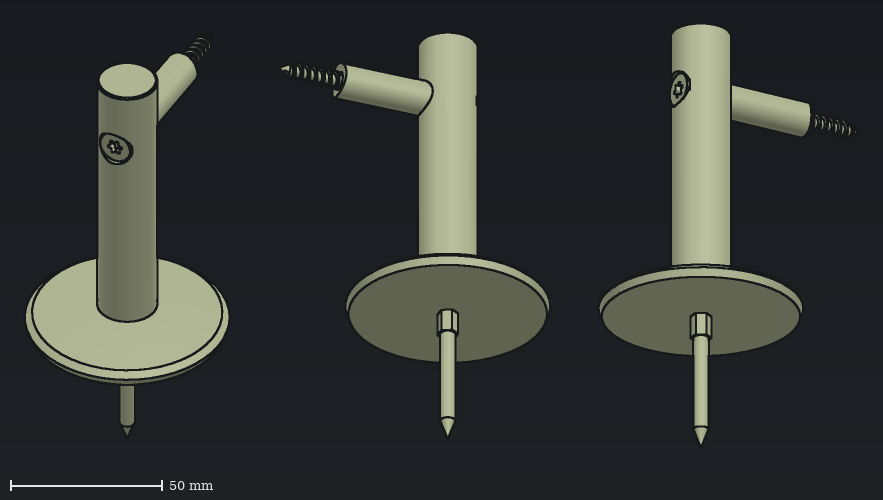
import cadquery as cq
import math

DISC_RIM_RADIUS = 34.0
DISC_RIM_HEIGHT = 3.0
DISC_BOTTOM_RADIUS = 32.9
DOME_EDGE_RADIUS = 31.5
DOME_EDGE_HEIGHT = 5.05
DISC_HEIGHT = 8.76

POST_RADIUS = 10.0
POST_TOP = 102.0
POST_CHAMFER = 0.5

CROSS_AXIS_HEIGHT = POST_TOP - 22.0

SPACER_RADIUS = 6.0
SPACER_END = 40.0
SADDLE_RADIUS = 21.2
SADDLE_AXIS_Y = SPACER_END + math.sqrt(SADDLE_RADIUS**2 - SPACER_RADIUS**2)

SCREW_LENGTH = 70.0
SCREW_TIP = 61.21
HEAD_FACE = SCREW_TIP - SCREW_LENGTH
HEAD_RADIUS = 5.6
HEAD_RIM_DEPTH = 1.0
HEAD_BORE_RADIUS = 6.0
SHANK_RADIUS = 3.0
HEAD_CONE_END = HEAD_FACE + HEAD_RIM_DEPTH + HEAD_RADIUS - SHANK_RADIUS
SHANK_END = 38.2
CORE_RADIUS = 2.0
TIP_LENGTH = 3.6

THREAD_RADIUS = SHANK_RADIUS
THREAD_PITCH = 2.6
THREAD_START = 39.3
THREAD_END = 58.4
THREAD_TAPER_START = 55.4
THREAD_TAPER_APEX = 61.8
THREAD_ROOT_WIDTH = 1.0
THREAD_CREST_WIDTH = 0.3
THREAD_EMBED = 0.8

DRIVE_LOBES = 6
DRIVE_OUTER_RADIUS = 2.6
DRIVE_INNER_RADIUS = 1.8
DRIVE_FLANK_RADIUS = (DRIVE_OUTER_RADIUS + DRIVE_INNER_RADIUS) / 2
DRIVE_LOBE_HALF_ANGLE = 13.0
DRIVE_ROTATION = 9.0
DRIVE_DEPTH = 2.5

HEX_SIDES = 6
HEX_ACROSS_FLATS = 6.0
HEX_ACROSS_CORNERS = HEX_ACROSS_FLATS / math.cos(math.pi / HEX_SIDES)
HEX_BOTTOM = -7.76
PIN_RADIUS = 2.6
PIN_CONE_TOP = -40.76
PIN_TIP = -47.76


def on_cross_axis(shape):
    """Turn a shape built along +Z so that it runs along +Y on the cross axis."""
    return shape.rotate((0, 0, 0), (1, 0, 0), -90).translate((0, 0, CROSS_AXIS_HEIGHT))


def cross_cylinder(radius, start, end):
    """Cylinder on the cross axis between two Y positions."""
    return on_cross_axis(cq.Workplane("XY").workplane(offset=start).circle(radius).extrude(end - start))


def dome_point(radius):
    """Profile point of the sphere, centred on the axis, through the dome edge and the post seat."""
    sphere_centre = (
        DISC_HEIGHT**2 + POST_RADIUS**2 - DOME_EDGE_HEIGHT**2 - DOME_EDGE_RADIUS**2
    ) / (2 * (DISC_HEIGHT - DOME_EDGE_HEIGHT))
    sphere_radius = math.hypot(POST_RADIUS, DISC_HEIGHT - sphere_centre)
    return (radius, sphere_centre + math.sqrt(sphere_radius**2 - radius**2))


def make_disc():
    """Dome with a flat seat for the post."""
    dome_middle = dome_point((DOME_EDGE_RADIUS + POST_RADIUS) / 2)
    return (
        cq.Workplane("XZ")
        .lineTo(DISC_BOTTOM_RADIUS, 0)
        .lineTo(DISC_RIM_RADIUS, DISC_RIM_HEIGHT)
        .lineTo(DOME_EDGE_RADIUS, DOME_EDGE_HEIGHT)
        .threePointArc(dome_middle, (POST_RADIUS, DISC_HEIGHT))
        .lineTo(0, DISC_HEIGHT)
        .close()
        .revolve(360, (0, 0), (0, 1))
    )


def make_post():
    """Round post with a chamfered top and a counterbored, countersunk screw hole."""
    post = (
        cq.Workplane("XY")
        .workplane(offset=DISC_HEIGHT)
        .circle(POST_RADIUS)
        .extrude(POST_TOP - DISC_HEIGHT)
        .faces(">Z")
        .chamfer(POST_CHAMFER)
    )
    bore = cross_cylinder(HEAD_BORE_RADIUS, -POST_RADIUS, HEAD_FACE + HEAD_RIM_DEPTH)
    return post.cut(bore).cut(screw_blank())


def make_spacer():
    """Round spacer, saddled on the post at one end and for a round rail at the other."""
    spacer = cross_cylinder(SPACER_RADIUS, 0, SPACER_END)
    post_saddle = cq.Workplane("XY").circle(POST_RADIUS).extrude(POST_TOP)
    rail_saddle = (
        cq.Workplane("YZ", origin=(-SPACER_RADIUS, SADDLE_AXIS_Y, CROSS_AXIS_HEIGHT))
        .circle(SADDLE_RADIUS)
        .extrude(2 * SPACER_RADIUS)
    )
    screw_hole = cross_cylinder(SHANK_RADIUS, 0, SPACER_END)
    return spacer.cut(post_saddle).cut(rail_saddle).cut(screw_hole)


def screw_blank():
    """Screw without thread or drive: countersunk head, shank, thinner core and pointed tip."""
    blank = (
        cq.Workplane("XZ")
        .moveTo(0, HEAD_FACE)
        .lineTo(HEAD_RADIUS, HEAD_FACE)
        .lineTo(HEAD_RADIUS, HEAD_FACE + HEAD_RIM_DEPTH)
        .lineTo(SHANK_RADIUS, HEAD_CONE_END)
        .lineTo(SHANK_RADIUS, SHANK_END)
        .lineTo(CORE_RADIUS, SHANK_END)
        .lineTo(CORE_RADIUS, SCREW_TIP - TIP_LENGTH)
        .lineTo(0, SCREW_TIP)
        .close()
        .revolve(360, (0, 0), (0, 1))
    )
    return on_cross_axis(blank)


def screw_thread():
    """Right-handed ridge around the core, tapering away towards the tip."""
    root_radius = CORE_RADIUS - THREAD_EMBED
    flank_slope = (THREAD_ROOT_WIDTH - THREAD_CREST_WIDTH) / (THREAD_RADIUS - CORE_RADIUS)
    root_width = THREAD_ROOT_WIDTH + flank_slope * THREAD_EMBED
    path = cq.Wire.makeHelix(
        THREAD_PITCH, THREAD_END - THREAD_START, CORE_RADIUS, center=cq.Vector(0, 0, THREAD_START)
    )
    ridge = (
        cq.Workplane("XZ", origin=(0, 0, THREAD_START))
        .moveTo(root_radius, -root_width / 2)
        .lineTo(THREAD_RADIUS, -THREAD_CREST_WIDTH / 2)
        .lineTo(THREAD_RADIUS, THREAD_CREST_WIDTH / 2)
        .lineTo(root_radius, root_width / 2)
        .close()
        .sweep(cq.Workplane(path), isFrenet=True)
    )
    envelope_radius = 2 * THREAD_RADIUS
    full_taper_length = (THREAD_TAPER_APEX - THREAD_TAPER_START) * envelope_radius / THREAD_RADIUS
    envelope = (
        cq.Workplane("XZ")
        .moveTo(0, SHANK_END)
        .lineTo(envelope_radius, SHANK_END)
        .lineTo(envelope_radius, THREAD_TAPER_APEX - full_taper_length)
        .lineTo(0, THREAD_TAPER_APEX)
        .close()
        .revolve(360, (0, 0), (0, 1))
    )
    return on_cross_axis(ridge.intersect(envelope))


def drive_recess():
    """Six-lobed socket sunk into the screw head."""
    def point(radius, angle):
        turn = math.radians(angle)
        return (radius * math.cos(turn), radius * math.sin(turn))

    lobe_step = 360 / DRIVE_LOBES
    outline = cq.Workplane("XZ", origin=(0, HEAD_FACE, CROSS_AXIS_HEIGHT)).moveTo(
        *point(DRIVE_FLANK_RADIUS, DRIVE_ROTATION - DRIVE_LOBE_HALF_ANGLE)
    )
    for lobe in range(DRIVE_LOBES):
        middle = DRIVE_ROTATION + lobe * lobe_step
        lobe_end = middle + DRIVE_LOBE_HALF_ANGLE
        next_start = middle + lobe_step - DRIVE_LOBE_HALF_ANGLE
        outline = outline.threePointArc(
            point(DRIVE_OUTER_RADIUS, middle), point(DRIVE_FLANK_RADIUS, lobe_end)
        ).threePointArc(
            point(DRIVE_INNER_RADIUS, middle + lobe_step / 2), point(DRIVE_FLANK_RADIUS, next_start)
        )
    return outline.close().extrude(-DRIVE_DEPTH)


def make_screw():
    return screw_blank().union(screw_thread()).cut(drive_recess())


def make_ground_pin():
    """Hexagonal collar with a pointed round pin below it."""
    collar = cq.Workplane("XY").polygon(HEX_SIDES, HEX_ACROSS_CORNERS).extrude(HEX_BOTTOM)
    pin = (
        cq.Workplane("XZ")
        .moveTo(0, HEX_BOTTOM)
        .lineTo(PIN_RADIUS, HEX_BOTTOM)
        .lineTo(PIN_RADIUS, PIN_CONE_TOP)
        .lineTo(0, PIN_TIP)
        .close()
        .revolve(360, (0, 0), (0, 1))
    )
    return collar.union(pin)


disc = make_disc()
post = make_post()
spacer = make_spacer()
screw = make_screw()
ground_pin = make_ground_pin()

bodies = [disc, post, spacer, screw, ground_pin]

result = cq.Compound.makeCompound([body.solids().val() for body in bodies])